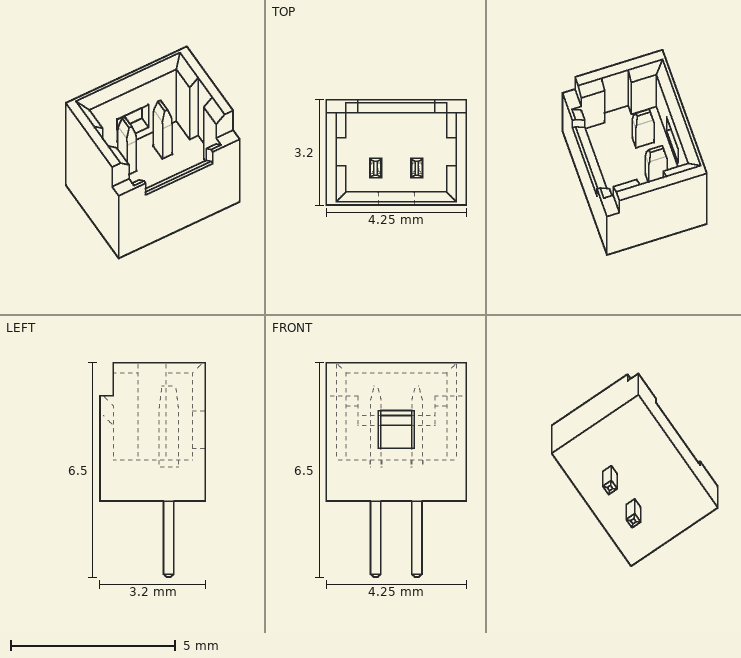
import cadquery as cq

WIDTH = 4.25
DEPTH = 3.2
HEIGHT = 4.2
FLOOR_HEIGHT = 1.25
SIDE_WALL = 0.3
RIB_DEPTH = 0.3
FRONT_WALL = 0.4
BACK_WALL = 0.4
LEAD_IN = 0.3

BACK_WALL_DROP = 1.0
NOTCH_DROP = 1.6
NOTCH_WIDTH = 2.35

RECESS_START = 1.2
RECESS_END = 2.05

WINDOW_WIDTH = 1.1
WINDOW_BOTTOM = 1.6
WINDOW_TOP = 2.75

PIN_COUNT = 2
PIN_PITCH = 1.25
PIN_Y = 1.12
PIN_THICKNESS = 0.32
BLADE_DEPTH = 0.59
BLADE_TOP = 3.5
BLADE_TIP_THICKNESS = 0.1
BLADE_TIP_DEPTH = 0.42
SIDE_TAPER_HEIGHT = 0.42
END_TAPER_HEIGHT = 0.7
TAIL_LENGTH = 2.3
TAIL_TIP_HEIGHT = 0.09
TAIL_TIP_THICKNESS = 0.12

SLOT_CLEARANCE = 0.02
SLOT_DEPTH = 0.2

cavity_width = WIDTH - 2 * (SIDE_WALL + RIB_DEPTH)
mouth_width = cavity_width + 2 * LEAD_IN
cavity_back = DEPTH - BACK_WALL


def block(width, y_start, y_end, z_start, z_end):
    """Box centred on X, between the given Y and Z limits."""
    return cq.Workplane("XY").box(
        width, y_end - y_start, z_end - z_start, centered=(True, False, False)
    ).translate((0, y_start, z_start))


def frustum(x, y, z, bottom_size, top_size, height):
    """Tapered rectangular block standing on (x, y, z)."""
    return (
        cq.Workplane("XY", origin=(x, y, z))
        .rect(*bottom_size)
        .workplane(offset=height)
        .rect(*top_size)
        .loft(ruled=True)
    )


def back_lead_in(width, rim_z):
    """Wedge that chamfers the inner edge of a back wall whose rim is at rim_z."""
    return (
        cq.Workplane("YZ", origin=(-width / 2, 0, 0))
        .moveTo(cavity_back, rim_z - LEAD_IN)
        .lineTo(cavity_back + LEAD_IN, rim_z)
        .lineTo(cavity_back, rim_z)
        .close()
        .extrude(width)
    )


def mouth_lead_in():
    """Tapered mouth that chamfers the front wall and the ribs."""
    mouth_length = cavity_back - FRONT_WALL + 2 * LEAD_IN
    return frustum(
        0,
        (FRONT_WALL + cavity_back) / 2,
        HEIGHT - LEAD_IN,
        (cavity_width, mouth_length - 2 * LEAD_IN),
        (mouth_width, mouth_length),
        LEAD_IN,
    )


def housing():
    shoulder_z = HEIGHT - BACK_WALL_DROP
    notch_z = HEIGHT - NOTCH_DROP
    return (
        block(WIDTH, 0, DEPTH, 0, HEIGHT)
        .cut(block(cavity_width, FRONT_WALL, cavity_back, FLOOR_HEIGHT, HEIGHT))
        .cut(block(mouth_width, RECESS_START, RECESS_END, FLOOR_HEIGHT, HEIGHT))
        .cut(mouth_lead_in())
        .cut(block(WIDTH, cavity_back, DEPTH, shoulder_z, HEIGHT))
        .cut(back_lead_in(cavity_width, shoulder_z))
        .cut(block(NOTCH_WIDTH, cavity_back, DEPTH, notch_z, HEIGHT))
        .cut(back_lead_in(NOTCH_WIDTH, notch_z))
        .cut(block(WINDOW_WIDTH, 0, FRONT_WALL, WINDOW_BOTTOM, WINDOW_TOP))
    )


def pointed_profile(plane, width, tip_width, taper_height):
    """Outline of a blade with a flat-ended, tapered tip, standing on Z = 0."""
    shoulder_z = BLADE_TOP - taper_height
    return cq.Workplane(plane).polyline(
        [
            (-width / 2, 0),
            (-width / 2, shoulder_z),
            (-tip_width / 2, BLADE_TOP),
            (tip_width / 2, BLADE_TOP),
            (width / 2, shoulder_z),
            (width / 2, 0),
        ]
    ).close()


def blade():
    """Mating blade, tapered to different heights across X and across Y."""
    across_x = pointed_profile("XZ", PIN_THICKNESS, BLADE_TIP_THICKNESS, SIDE_TAPER_HEIGHT)
    across_y = pointed_profile("YZ", BLADE_DEPTH, BLADE_TIP_DEPTH, END_TAPER_HEIGHT)
    return across_x.extrude(BLADE_DEPTH / 2, both=True).intersect(
        across_y.extrude(PIN_THICKNESS / 2, both=True)
    )


def tail():
    """Square solder tail with a blunt pyramid tip."""
    half = PIN_THICKNESS / 2
    tail_size = (PIN_THICKNESS, PIN_THICKNESS)
    tip_size = (TAIL_TIP_THICKNESS, TAIL_TIP_THICKNESS)
    shank = block(PIN_THICKNESS, -half, half, TAIL_TIP_HEIGHT - TAIL_LENGTH, 0)
    return shank.union(frustum(0, 0, -TAIL_LENGTH, tip_size, tail_size, TAIL_TIP_HEIGHT))


def relief_slot():
    """Shallow floor slot, slightly wider than the blade that stands in it."""
    half = BLADE_DEPTH / 2
    slot_width = PIN_THICKNESS + 2 * SLOT_CLEARANCE
    return block(slot_width, -half, half, FLOOR_HEIGHT - SLOT_DEPTH, FLOOR_HEIGHT)


pin = blade().union(tail())
slot = relief_slot()

result = housing()
for index in range(PIN_COUNT):
    pin_position = ((index - (PIN_COUNT - 1) / 2) * PIN_PITCH, PIN_Y, 0)
    result = result.cut(slot.translate(pin_position)).union(pin.translate(pin_position))